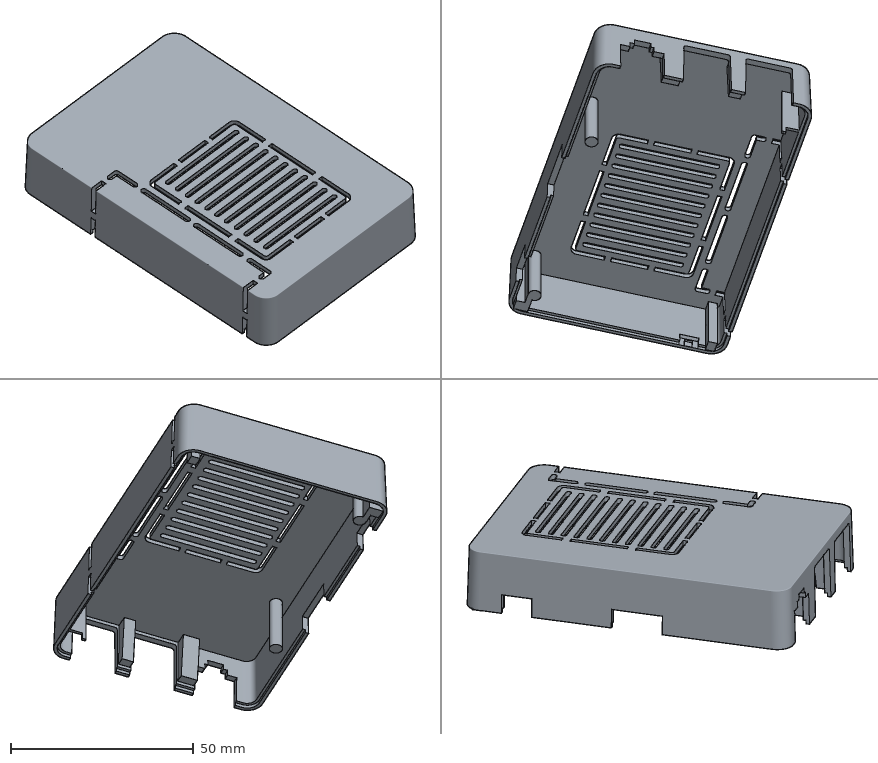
import cadquery as cq
import math

length = 93.9
width = 62.2
height = 17.4
locator_drop = 0.9
corner_radius = 4.6
draft = 1.5
top_fillet = 0.2
wall = 1.8
top_thickness = 1.5

margin = 1.0

rim_height = 1.0
rim_wall = 1.0

grille_x = 12.65
grille_y = -1.0
vent_count = 11
vent_pitch = 3.7
vent_width = 1.45
vent_length = 28.6
frame_y = -1.4
frame_length = 45.1
frame_width = 34.9
frame_slot = 1.3
frame_radius = 2.0
frame_x_gap = 2.4
frame_x_gap_offset = 9.45
frame_y_gap = 1.8
frame_y_gap_offset = 6.2

panel_slot = 1.6
panel_left = -18.8
panel_right = 38.4
panel_y = -21.6
panel_elbow_end = -24.9
panel_gaps = [(-11.1, -9.3), (8.8, 10.6), (28.7, 30.8)]
edge_slot_end = -26.7
upper_slot_bottom = 8.7
lower_slot_top = 6.2

jack_steps = [(12.0, 24.45, 9.3), (14.9, 21.7, 11.0), (15.75, 20.4, 12.55)]
usb_centers = [-0.3, -18.0]
usb_top_width = 13.2
usb_bottom_width = 13.7
usb_height = 14.8
usb_corner = 0.7

rear_notches = [(-3.25, 14.7, 5.5), (31.45, 8.7, 5.5)]

rib_bottom = 2.0
rib_top_reach = 5.8
rib_bottom_reach = 4.3
rib_inset = 0.3

post_radius = 1.8
post_y = 24.95
post_xs = [-19.05, 38.75]
block_x = (41.9, 44.9)
web_y = (25.2, 26.8)
block_ys = [(26.5, 29.3), (-28.1, -25.5)]
fin_x = -36.6
fin_thickness = 0.8
fin_y = (-29.5, -24.4)
fin_tip_length = 1.1

pocket_y = -20.95
pocket_width = 5.4
pocket_height = 3.9
pocket_depth = 0.8
pocket_slope = 0.9
nub_y = -20.8
nub_width = 2.2
nub_bottom = 0.1
nub_face_bottom = 1.0
nub_top = 1.7
nub_depth = 0.8


def box(x_range, y_range, z_range):
    """Box between pairs of limits along each axis."""
    sizes = [high - low for low, high in (x_range, y_range, z_range)]
    return cq.Workplane("XY").box(*sizes, centered=False).translate((x_range[0], y_range[0], z_range[0]))


def drafted_block(inset, block_height):
    """Rounded block that follows the outer wall at a constant inset."""
    lean = block_height * math.tan(math.radians(draft))
    radius = corner_radius - inset

    def outline(shrink):
        return cq.Sketch().rect(length - 2 * shrink, width - 2 * shrink).vertices().fillet(radius)

    lower = outline(inset)
    upper = outline(inset + lean).moved(cq.Location(cq.Vector(0, 0, block_height)))
    return cq.Workplane("XY").placeSketch(lower, upper).loft()


def top_slot(start, end, slot_width):
    """Round-ended cutter through the top between two end-arc centres."""
    dx = end[0] - start[0]
    dy = end[1] - start[1]
    middle = ((start[0] + end[0]) / 2, (start[1] + end[1]) / 2, height - top_thickness - margin)
    return (
        cq.Workplane("XY", origin=middle)
        .slot2D(math.hypot(dx, dy) + slot_width, slot_width, math.degrees(math.atan2(dy, dx)))
        .extrude(top_thickness + 2 * margin)
    )


def make_shell():
    outer = drafted_block(0, height).faces(">Z").edges().fillet(top_fillet)
    cavity = drafted_block(wall, height - top_thickness)
    rim = drafted_block(rim_wall, rim_height)
    return outer.cut(cavity).cut(rim)


def vent_cutters():
    half_span = (vent_length - vent_width) / 2
    first_x = grille_x - vent_pitch * (vent_count - 1) / 2
    cutters = cq.Workplane("XY")
    for index in range(vent_count):
        x = first_x + index * vent_pitch
        cutters = cutters.add(top_slot((x, grille_y - half_span), (x, grille_y + half_span), vent_width))
    return cutters.combine()


def frame_cutter():
    z_range = (height - top_thickness - margin, height + margin)

    def rounded_block(inset):
        return (
            box(
                (grille_x - frame_length / 2 + inset, grille_x + frame_length / 2 - inset),
                (frame_y - frame_width / 2 + inset, frame_y + frame_width / 2 - inset),
                z_range,
            )
            .edges("|Z")
            .fillet(frame_radius - inset)
        )

    frame = rounded_block(0).cut(rounded_block(frame_slot))
    for side in (-1, 1):
        x = grille_x + side * frame_x_gap_offset
        y = grille_y + side * frame_y_gap_offset
        frame = frame.cut(box((x - frame_x_gap / 2, x + frame_x_gap / 2), (-width, width), z_range))
        frame = frame.cut(box((-length, length), (y - frame_y_gap / 2, y + frame_y_gap / 2), z_range))
    return frame


def panel_cutters():
    radius = panel_slot / 2
    starts = [panel_left] + [gap[1] + radius for gap in panel_gaps]
    ends = [gap[0] - radius for gap in panel_gaps] + [panel_right]
    cutters = cq.Workplane("XY")
    for start, end in zip(starts, ends):
        cutters = cutters.add(top_slot((start, panel_y), (end, panel_y), panel_slot))
    front_y = (-width / 2 - margin, -width / 2 + wall + margin)
    for x in (panel_left, panel_right):
        x_range = (x - radius, x + radius)
        cutters = cutters.add(top_slot((x, panel_y), (x, panel_elbow_end + radius), panel_slot))
        top_z = (height - top_thickness, height + margin)
        cutters = cutters.add(box(x_range, (front_y[0], edge_slot_end), top_z))
        cutters = cutters.add(box(x_range, front_y, (upper_slot_bottom, height + margin)))
        cutters = cutters.add(box(x_range, front_y, (-margin, lower_slot_top)))
    return cutters.combine()


def port_cutters():
    wall_x = (-length / 2 - margin, -length / 2 + wall + margin)
    cutters = cq.Workplane("XY")
    for y_low, y_high, step_height in jack_steps:
        cutters = cutters.add(box(wall_x, (y_low, y_high), (-margin, step_height)))
    for y in usb_centers:
        window = (
            cq.Workplane("YZ", origin=(wall_x[0], y, 0))
            .moveTo(-usb_bottom_width / 2, 0)
            .lineTo(usb_bottom_width / 2, 0)
            .lineTo(usb_top_width / 2, usb_height)
            .lineTo(-usb_top_width / 2, usb_height)
            .close()
            .extrude(wall_x[1] - wall_x[0])
        )
        cutters = cutters.add(window.edges("|X and >Z").fillet(usb_corner))
    return cutters.combine()


def rear_notch_cutters():
    cutters = cq.Workplane("XY")
    for x, notch_width, notch_height in rear_notches:
        x_range = (x - notch_width / 2, x + notch_width / 2)
        y_range = (width / 2 - wall - margin, width / 2 + margin)
        cutters = cutters.add(box(x_range, y_range, (-margin, notch_height)))
    return cutters.combine()


def latch_profile(y, profile_width, points):
    """Prism across y, symmetric about the given y, from (x, z) points."""
    plane = cq.Workplane("XZ", origin=(0, y + profile_width / 2, 0))
    return plane.polyline(points).close().extrude(profile_width)


def pocket_cutter():
    """Pocket open at the bottom, its ceiling sloping down towards its floor."""
    points = [
        (pocket_mouth_x, 0),
        (pocket_floor_x, 0),
        (pocket_floor_x, pocket_height - pocket_slope),
        (pocket_mouth_x, pocket_height),
    ]
    return latch_profile(pocket_y, pocket_width, points)


def latch_nub():
    """Nub with a flat top and a sloping underside, rooted in the pocket floor."""
    root_x = pocket_floor_x + nub_depth / 2
    face_x = pocket_floor_x - nub_depth
    points = [(root_x, nub_bottom), (pocket_floor_x, nub_bottom), (face_x, nub_face_bottom)]
    points += [(face_x, nub_top), (root_x, nub_top)]
    return latch_profile(nub_y, nub_width, points)


def pillar_ribs():
    usb_half = usb_bottom_width / 2
    pillars = [
        (usb_centers[0] + usb_half, jack_steps[0][0]),
        (usb_centers[1] + usb_half, usb_centers[0] - usb_half),
    ]
    outer_x = -length / 2
    rib_top = height - top_thickness
    root_x = outer_x + rim_wall
    ribs = cq.Workplane("XY")
    for y_low, y_high in pillars:
        ribs = ribs.add(
            cq.Workplane("XZ", origin=(0, y_high - rib_inset, 0))
            .moveTo(root_x, rib_bottom)
            .lineTo(outer_x + rib_bottom_reach, rib_bottom)
            .lineTo(outer_x + rib_top_reach, rib_top)
            .lineTo(root_x, rib_top)
            .close()
            .extrude(y_high - y_low - 2 * rib_inset)
        )
    return ribs.combine()


def locators():
    z_range = (-locator_drop, height - top_thickness / 2)
    parts = (
        cq.Workplane("XY", origin=(0, 0, z_range[0]))
        .pushPoints([(x, post_y) for x in post_xs])
        .circle(post_radius)
        .extrude(z_range[1] - z_range[0])
    )
    for y_range in block_ys:
        parts = parts.union(box(block_x, y_range, z_range))
    parts = parts.union(box((post_xs[1], block_x[1]), web_y, z_range))
    fin_x_range = (fin_x - fin_thickness / 2, fin_x + fin_thickness / 2)
    tip_y = (fin_y[1] - fin_tip_length, fin_y[1])
    parts = parts.union(box(fin_x_range, fin_y, (rim_height, z_range[1])))
    return parts.union(box(fin_x_range, tip_y, z_range))


pocket_floor_x = length / 2 - wall + pocket_depth
pocket_mouth_x = length / 2 - wall - margin

result = make_shell().cut(vent_cutters()).cut(frame_cutter()).cut(panel_cutters())
result = result.union(pillar_ribs()).union(locators())
result = result.cut(port_cutters()).cut(rear_notch_cutters())
result = result.cut(pocket_cutter()).union(latch_nub())